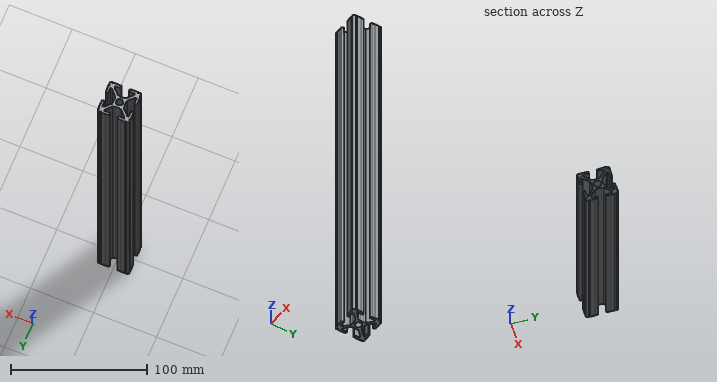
import cadquery as cq
import math

LENGTH = 304.8
WIDTH = 25.3
HALF_WIDTH = WIDTH / 2
CORNER_RADIUS = 1.8

SLOT_HALF_OPENING = 3.0
LIP_THICKNESS = 2.0
LIP_STEP = 0.15
LIP_STEP_START = 6.5
LIP_STEP_END = 5.8
LIP_TIP_RADIUS = 1.0
CAVITY_OUTER_HALF_WIDTH = 8.0
CAVITY_INNER_HALF_WIDTH = 7.3
WEB_THICKNESS = 2.3

CORE_HALF_WIDTH = 5.0
CORE_DISH = 0.45
CORE_FLAT_HALF_WIDTH = 1.37
BORE_DIAMETER = 5.2

GROOVE_OFFSET = 10.0
GROOVE_RADIUS = 0.5

WEB_OFFSET = WEB_THICKNESS / math.sqrt(2)


def make_blank():
    """Square bar with rounded long edges."""
    blank = cq.Workplane("XY").rect(WIDTH, WIDTH).extrude(LENGTH)
    return blank.edges("|Z").fillet(CORNER_RADIUS)


def make_slot():
    """T-slot cutter on the +Y side, with stepped round-tipped lips and a dished floor."""
    lip_inside = HALF_WIDTH - LIP_THICKNESS
    lip_face = HALF_WIDTH - LIP_STEP
    tip_end = SLOT_HALF_OPENING + LIP_TIP_RADIUS
    tip_sag = LIP_TIP_RADIUS * (1 - math.sqrt(0.5))
    half_slot = (
        cq.Workplane("XY")
        .moveTo(0, HALF_WIDTH)
        .lineTo(LIP_STEP_START, HALF_WIDTH)
        .lineTo(LIP_STEP_END, lip_face)
        .lineTo(tip_end, lip_face)
        .threePointArc(
            (SLOT_HALF_OPENING + tip_sag, lip_face - tip_sag),
            (SLOT_HALF_OPENING, lip_face - LIP_TIP_RADIUS),
        )
        .lineTo(SLOT_HALF_OPENING, lip_inside)
        .lineTo(CAVITY_OUTER_HALF_WIDTH, lip_inside)
        .lineTo(CAVITY_INNER_HALF_WIDTH, CAVITY_INNER_HALF_WIDTH + WEB_OFFSET)
        .lineTo(CORE_HALF_WIDTH - WEB_OFFSET, CORE_HALF_WIDTH)
        .lineTo(CORE_FLAT_HALF_WIDTH, CORE_HALF_WIDTH - CORE_DISH)
        .lineTo(0, CORE_HALF_WIDTH - CORE_DISH)
        .close()
        .extrude(LENGTH)
    )
    return half_slot.union(half_slot.mirror("YZ")).clean()


def make_grooves():
    """Pair of round groove cutters on the +Y face."""
    return (
        cq.Workplane("XY")
        .pushPoints([(-GROOVE_OFFSET, HALF_WIDTH), (GROOVE_OFFSET, HALF_WIDTH)])
        .circle(GROOVE_RADIUS)
        .extrude(LENGTH)
    )


def make_bore():
    return cq.Workplane("XY").circle(BORE_DIAMETER / 2).extrude(LENGTH)


result = make_blank().cut(make_bore())
for side in range(4):
    angle = 90 * side
    for cutter in (make_slot(), make_grooves()):
        result = result.cut(cutter.rotate((0, 0, 0), (0, 0, 1), angle))